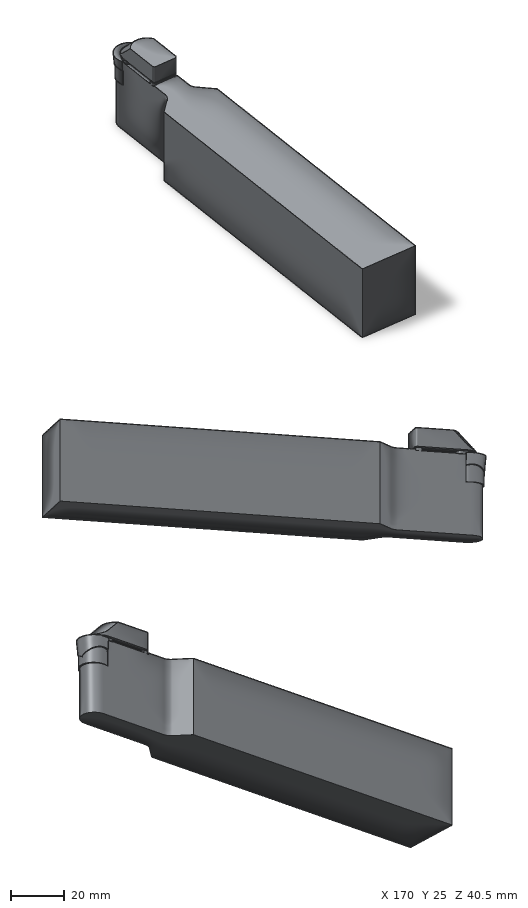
import cadquery as cq
import math

tool_length = 170.0
tool_height = 40.5

shank_width = 25.0
shank_height = 32.0
shank_start_x = 44.7
neck_width = 11.0
neck_nose_x = 1.3
neck_fillet = 4.0

insert_radius = 6.5
relief_angle = 5.0
insert_end_x = 9.1
vee_root_z = 24.1
vee_angle = 30.0
seat_radius = 5.8
seat_bottom_z = 20.7

clamp_nose_x = 3.8
clamp_end_x = 28.8
clamp_corner_fillet = 1.0
clamp_underside_z = 32.8
clamp_underside_chamfer = 0.4
crest_rise = 29.7
crown_radius = 8.0

clamp_floor_z = 31.5
pad_inset = 0.3
front_pad_end_x = 12.3
front_pad_fillet = 1.8
rear_pad_start_x = 26.4

neck_half = neck_width / 2
shank_half = shank_width / 2
neck_nose_center_x = neck_nose_x + neck_half
neck_end_x = shank_start_x - (shank_half - neck_half)
vee_side_z = vee_root_z + insert_radius * math.tan(math.radians(vee_angle))


def block(start_x, end_x, width, bottom_z, top_z):
    """Plain box, centred across Y."""
    return (
        cq.Workplane("XY", origin=(start_x, 0, bottom_z))
        .box(end_x - start_x, width, top_z - bottom_z, centered=(False, True, False))
    )


def nose_block(nose_x, half_width, end_x, corner_fillet, bottom_z, top_z):
    """Upright bar with a full-round nose and rounded back corners."""
    nose_center_x = nose_x + half_width
    return (
        cq.Workplane("XY", origin=(0, 0, bottom_z))
        .moveTo(nose_center_x, half_width)
        .threePointArc((nose_x, 0), (nose_center_x, -half_width))
        .lineTo(end_x, -half_width)
        .lineTo(end_x, half_width)
        .close()
        .extrude(top_z - bottom_z)
        .edges("|Z and >X")
        .fillet(corner_fillet)
    )


def vee_prism(flat_z):
    """Space between the V faces and a level plane, ending at the flat insert back."""
    return (
        cq.Workplane("YZ")
        .moveTo(0, vee_root_z)
        .lineTo(insert_radius, vee_side_z)
        .lineTo(insert_radius, flat_z)
        .lineTo(-insert_radius, flat_z)
        .lineTo(-insert_radius, vee_side_z)
        .close()
        .extrude(insert_end_x)
    )


def make_insert():
    """Round-nosed insert: a relieved cone with a V-shaped underside and a flat back."""
    cone = (
        cq.Workplane("XY", origin=(insert_radius, 0, shank_height))
        .circle(insert_radius)
        .extrude(vee_root_z - shank_height, taper=relief_angle)
    )
    return cone.intersect(vee_prism(shank_height))


def make_shank():
    """Shank with 45 degree shoulders leading to a round-nosed neck."""
    blank = (
        cq.Workplane("XY")
        .moveTo(neck_nose_center_x, neck_half)
        .threePointArc((neck_nose_x, 0), (neck_nose_center_x, -neck_half))
        .lineTo(neck_end_x, -neck_half)
        .lineTo(shank_start_x, -shank_half)
        .lineTo(tool_length, -shank_half)
        .lineTo(tool_length, shank_half)
        .lineTo(shank_start_x, shank_half)
        .lineTo(neck_end_x, neck_half)
        .close()
        .extrude(shank_height)
    )
    shoulder_roots = cq.selectors.BoxSelector(
        (neck_end_x - neck_fillet, -shank_half, 0),
        (neck_end_x + neck_fillet, shank_half, shank_height),
    )
    blank = blank.edges("|Z").edges(shoulder_roots).fillet(neck_fillet)
    clamp_recess = block(0, clamp_end_x, shank_width, clamp_floor_z, shank_height)
    insert_pocket = block(0, insert_end_x, shank_width, seat_bottom_z, shank_height)
    return blank.cut(clamp_recess).cut(insert_pocket)


def make_seat():
    """Round seat in the pocket, with a V-shaped top that carries the insert."""
    column = (
        cq.Workplane("XY", origin=(insert_radius, 0, seat_bottom_z))
        .circle(seat_radius)
        .extrude(clamp_floor_z - seat_bottom_z)
    )
    return column.intersect(vee_prism(seat_bottom_z))


def make_clamp():
    """Clamp finger with a crowned 45 degree front, standing on two pads."""
    bar = nose_block(
        clamp_nose_x, neck_half, clamp_end_x, clamp_corner_fillet, clamp_underside_z, tool_height
    )
    bar = bar.faces("<Z").edges("|X").chamfer(clamp_underside_chamfer)

    crest_plane = cq.Plane(
        origin=(clamp_nose_x, 0, clamp_nose_x + crest_rise), xDir=(1, 0, -1), normal=(1, 0, 1)
    )
    crown_and_body = (
        cq.Workplane(crest_plane)
        .moveTo(crown_radius, crown_radius)
        .threePointArc((0, 0), (crown_radius, -crown_radius))
        .lineTo(tool_height, -crown_radius)
        .lineTo(tool_height, crown_radius)
        .close()
        .extrude(tool_height, both=True)
    )
    bar = bar.intersect(crown_and_body)

    front_pad = nose_block(
        clamp_nose_x + pad_inset, neck_half - pad_inset, front_pad_end_x, front_pad_fillet,
        clamp_floor_z, clamp_underside_z,
    )
    rear_pad = block(rear_pad_start_x, clamp_end_x, neck_width, clamp_floor_z, clamp_underside_z)
    rear_pad = rear_pad.edges("|Z and >X").fillet(clamp_corner_fillet)
    return bar.union(front_pad).union(rear_pad)


insert = make_insert()

holder = make_shank().union(make_seat()).union(make_clamp()).cut(insert)

result = cq.Compound.makeCompound([holder.val(), insert.val()])